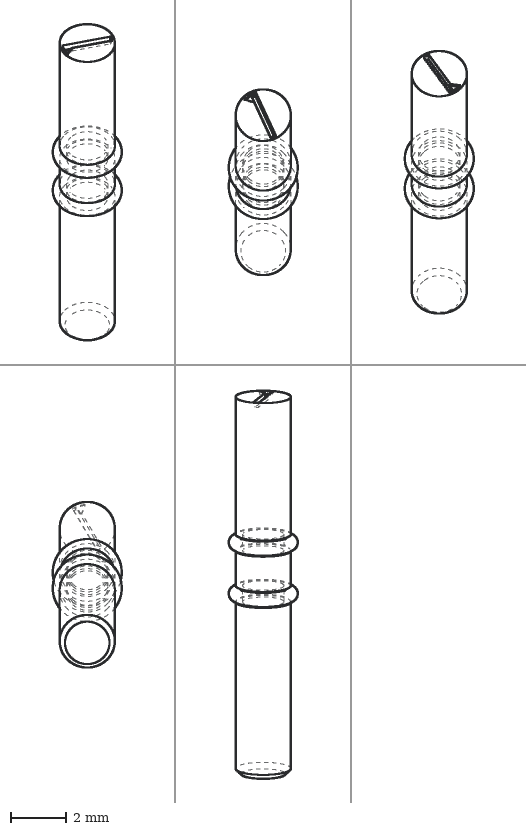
import cadquery as cq

pin_length = 14.0
pin_diameter = 2.0
end_chamfer = 0.2

ring_section = 0.5
ring_outer_diameter = 2.5
upper_ring_height = 8.6
ring_spacing = 1.9
ring_heights = [upper_ring_height - ring_spacing, upper_ring_height]

groove_width = 0.6
groove_floor_diameter = ring_outer_diameter - 2 * ring_section

slot_width = 0.21
slot_draft_angle = 12.0
slot_depth = 0.2
slot_length = 1.8
barb_depth = 0.11
barb_start_y = -0.5
barb_tip_x = 0.38
barb_tip_y = -0.83


def make_groove_cutter(height):
    """Flat ring that leaves a groove centred at the given height."""
    return (
        cq.Workplane("XY", origin=(0, 0, height - groove_width / 2))
        .circle(ring_outer_diameter / 2)
        .circle(groove_floor_diameter / 2)
        .extrude(groove_width)
    )


def make_slot_cutter():
    """Straight slot along Y in the top face, with walls drafted inward toward its floor."""
    return (
        cq.Workplane("XY", origin=(0, 0, pin_length))
        .rect(slot_width, slot_length)
        .extrude(-slot_depth, taper=slot_draft_angle)
    )


def make_barb_cutter():
    """Triangular barb with upright walls, on the +X side of the slot's -Y end."""
    return (
        cq.Workplane("XY", origin=(0, 0, pin_length))
        .moveTo(0, barb_start_y)
        .lineTo(barb_tip_x, barb_tip_y)
        .lineTo(slot_width / 2, -slot_length / 2)
        .lineTo(0, -slot_length / 2)
        .close()
        .extrude(-barb_depth)
    )


def make_pin():
    """Pin with a chamfered lower end, two ring grooves and the slotted top face."""
    body = cq.Workplane("XY").circle(pin_diameter / 2).extrude(pin_length)
    body = body.faces("<Z").chamfer(end_chamfer)
    for height in ring_heights:
        body = body.cut(make_groove_cutter(height))
    return body.cut(make_slot_cutter()).cut(make_barb_cutter())


def make_sealing_ring(height):
    """Torus around the pin axis, centred at the given height."""
    section_radius = ring_section / 2
    centre_radius = ring_outer_diameter / 2 - section_radius
    return cq.Solid.makeTorus(centre_radius, section_radius, cq.Vector(0, 0, height))


pin = make_pin()
sealing_rings = [make_sealing_ring(height) for height in ring_heights]

result = cq.Compound.makeCompound([pin.val(), *sealing_rings])